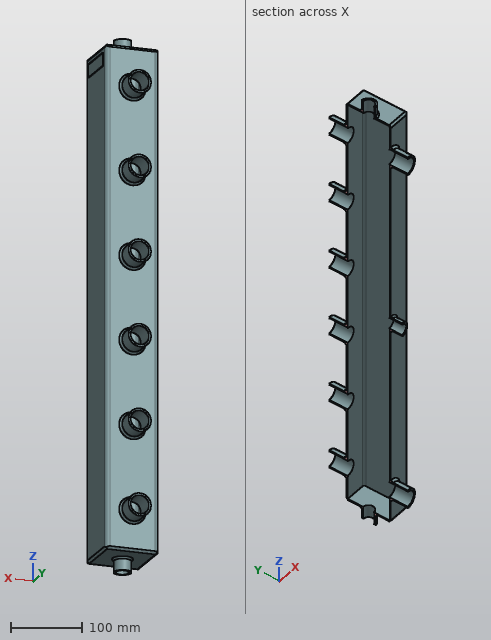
import cadquery as cq

overall_length = 785.0
body_side = 80.0
corner_radius = 6.0
wall = 3.0
end_bevel_inset = 3.0
end_bevel_depth = 4.0

nipple_outer = 25.0
nipple_bore = 19.0
nipple_height = 20.0
nipple_weld_width = 2.0
nipple_weld_height = 3.0

stub_outer = 34.0
stub_bore = 27.5
stub_height = 30.0
stub_weld_width = 3.0
stub_weld_height = 4.0
stub_count = 6
stub_span = 626.0

plate_thickness = 1.0
plate_width = 60.0
plate_height = 20.0
plate_top_gap = 10.0

body_length = overall_length - 2 * nipple_height
half_side = body_side / 2
half_length = body_length / 2
stub_pitch = stub_span / (stub_count - 1)
stub_levels = [i * stub_pitch - stub_span / 2 for i in range(stub_count)]


def rounded_column(side, length, radius):
    """Square column along Z with rounded long edges."""
    return cq.Workplane("XY").box(side, side, length).edges("|Z").fillet(radius)


def bevelled_half():
    """Sharp-edged upper half of the body, tapering to a smaller square at its end."""
    shoulder = half_length - end_bevel_depth
    end_side = body_side - 2 * end_bevel_inset
    shank = cq.Workplane("XY").rect(body_side, body_side).extrude(shoulder)
    taper = (
        cq.Workplane("XY", origin=(0, 0, shoulder))
        .rect(body_side, body_side)
        .workplane(offset=end_bevel_depth)
        .rect(end_side, end_side)
        .loft()
    )
    return shank.union(taper)


def hollow_body():
    """Closed square tube; the bevelled ends keep sharp-cornered square faces."""
    upper_half = bevelled_half()
    bevelled_block = upper_half.union(upper_half.mirror("XY"))
    outer = bevelled_block.intersect(rounded_column(body_side, body_length, corner_radius))
    inner = rounded_column(body_side - 2 * wall, body_length - 2 * wall, corner_radius - wall)
    return outer.cut(inner)


def connector(base, direction, outer, height, weld_width, weld_height):
    """Solid pipe standing on a face, with a conical weld bead around its foot; starts inside the wall."""
    pipe = cq.Solid.makeCylinder(outer / 2, height + wall, base - direction * wall, direction)
    bead = cq.Solid.makeCone(outer / 2 + weld_width, outer / 2, weld_height, base, direction)
    return pipe.fuse(bead)


def bore(base, direction, diameter, height):
    """Hole along a connector, reaching through the wall into the cavity."""
    return cq.Solid.makeCylinder(diameter / 2, height + 2 * wall, base - direction * 2 * wall, direction)


def name_plate():
    plate_centre_z = half_length - plate_top_gap - plate_height / 2
    plate = cq.Workplane("XY").box(2 * plate_thickness, plate_width, plate_height)
    return plate.translate((half_side, 0, plate_centre_z))


front = cq.Vector(0, -1, 0)
back = cq.Vector(0, 1, 0)
up = cq.Vector(0, 0, 1)
down = cq.Vector(0, 0, -1)

nipples = [
    (up * half_length, up),
    (down * half_length, down),
    (front * half_side, front),
]
stubs = [(back * half_side + up * z, back) for z in stub_levels]
stubs += [(front * half_side + up * z, front) for z in (stub_levels[0], stub_levels[-1])]

result = hollow_body().union(name_plate())

for base, direction in nipples:
    nipple = connector(base, direction, nipple_outer, nipple_height, nipple_weld_width, nipple_weld_height)
    result = result.union(cq.Workplane(nipple))
    result = result.cut(cq.Workplane(bore(base, direction, nipple_bore, nipple_height)))

for base, direction in stubs:
    stub = connector(base, direction, stub_outer, stub_height, stub_weld_width, stub_weld_height)
    result = result.union(cq.Workplane(stub))
    result = result.cut(cq.Workplane(bore(base, direction, stub_bore, stub_height)))